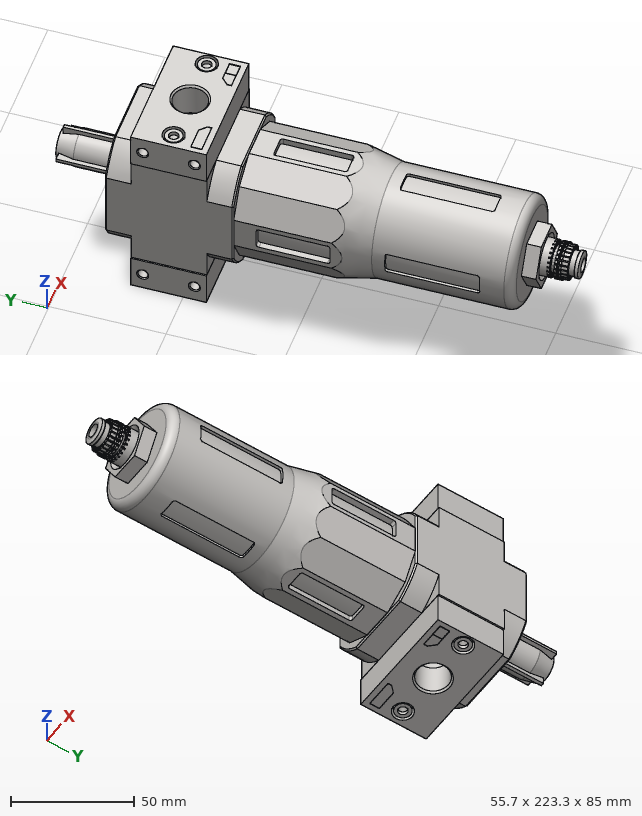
import cadquery as cq
import math

housing_width = 55.0
housing_height = 54.5
housing_corner_radius = 31.3
housing_edge_chamfer = 0.7
port_diameter = 15.0

plate_length = 32.4
plate_width = housing_width
plate_shift = -0.7
overall_height = 85.0
plate_outer_z = overall_height / 2
plate_thickness = plate_outer_z - housing_height / 2
port_mouth_diameter = 16.5
port_mouth_depth = 1.0
mount_hole_diameter = 4.2
mount_hole_mouth_diameter = 5.1
mount_hole_spacing = 22.0
mount_hole_z = 35.0
mount_hole_depth = 4.5
drill_tip_angle = 118.0

label_depth = 0.2
deep_label_depth = 0.5
label_near_y = -8.7
label_far_y = -13.5
label_corner = 3.0
left_label_outer_x = -25.7
right_label_outer_x = 24.3
right_label_divider_x = 19.0
label_inner_x = 12.7

screw_spacing = 42.9
screw_head_diameter = 7.5
screw_head_height = 4.5
screw_head_sink = 0.5
screw_shank_diameter = 6.0
screw_depth_in_housing = 5.5
screw_socket_diameter = 4.2
screw_socket_depth = 1.8
counterbore_diameter = 9.4
screw_head_top_z = plate_outer_z - screw_head_sink
screw_head_seat_z = screw_head_top_z - screw_head_height
screw_end_z = housing_height / 2 - screw_depth_in_housing

knob_collar_diameter = 22.0
knob_collar_length = 3.0
knob_flare_diameter = 20.3
knob_flare_length = 2.2
knob_core_diameter = 16.3
knob_core_end_y = 47.3
knob_tip_diameter = 12.7
knob_tip_y = 55.4
knob_fin_count = 4
knob_fin_end_y = 54.0
knob_fin_thickness = 1.5

bowl_facet_count = 12
bowl_across_flats = 53.8
bowl_facet_end = 69.2
bowl_taper_end = 85.5
bowl_end = 146.0
bowl_cylinder_diameter = 48.7
bowl_end_fillet = 4.0
hex_side_count = 6
hex_across_flats = 23.9
hex_end = 152.2
drain_mouth_diameter = 20.0

window_width = 9.8
window_corner_radius = 1.1
facet_window_start = 37.0
facet_window_end = 68.5
facet_window_floor_radius = 24.5
cylinder_window_start = 91.0
cylinder_window_end = 131.5
cylinder_window_floor_radius = 23.0
window_count = 4

drain_neck_diameter = 16.0
drain_neck_end = 156.0
drain_core_diameter = 11.8
drain_first_ring_start = 157.8
drain_first_ring_end = 159.0
drain_second_ring_start = 159.8
drain_second_ring_end = 160.7
drain_shoulder_diameter = 15.0
drain_shoulder_end = 163.5
drain_stem_diameter = 11.0
drain_lip_start = 165.9
drain_lip_end = 167.5
drain_tip = 167.9
drain_tip_diameter = 7.5
drain_bore_diameter = 6.0
drain_bore_depth = 3.3
drain_groove_count = 24
drain_groove_width = 0.55
drain_groove_start = 155.0


def box_between(x_range, y_range, z_range):
    """A box that spans the given range along each axis."""
    lengths = [end - start for start, end in (x_range, y_range, z_range)]
    corner = (x_range[0], y_range[0], z_range[0])
    return cq.Workplane("XY").box(*lengths, centered=False).translate(corner)


def cylinder_along_y(diameter, start_y, end_y):
    """A cylinder on the filter axis."""
    axis_plane = cq.Workplane("XZ", origin=(0, start_y, 0))
    return axis_plane.circle(diameter / 2).extrude(start_y - end_y)


def revolve_about_y(profile):
    """Turn (radius, y) points, which start and end on the axis, about the filter axis."""
    return cq.Workplane("XY").polyline(profile).close().revolve(360, (0, 0, 0), (0, 1, 0))


def drill_tip_length(diameter):
    """Length of the cone at the bottom of a drilled hole."""
    return diameter / 2 / math.tan(math.radians(drill_tip_angle / 2))


def drill(diameter, depth):
    """A drilled hole that goes down from the origin and ends in a cone."""
    radius = diameter / 2
    outline = [(0, 0), (radius, 0), (radius, -depth), (0, -depth - drill_tip_length(diameter))]
    return cq.Workplane("XZ").polyline(outline).close().revolve(360, (0, 0, 0), (0, 1, 0))


def make_port_bore():
    """The bore through the housing and both plates."""
    return cq.Workplane("XY").circle(port_diameter / 2).extrude(plate_outer_z, both=True)


def make_screw_space():
    """Counterbore and shank hole of one plate screw, on the Z axis."""
    counterbore = cq.Workplane("XY", origin=(0, 0, screw_head_seat_z)).circle(counterbore_diameter / 2)
    shank = cq.Workplane("XY", origin=(0, 0, screw_end_z)).circle(screw_shank_diameter / 2)
    shank_space = shank.extrude(screw_head_seat_z - screw_end_z)
    return counterbore.extrude(plate_outer_z - screw_head_seat_z).union(shank_space)


def for_each_screw(shape):
    """Copies of a shape on the Z axis, one for each screw of both plates."""
    upper = [shape.translate((side * screw_spacing / 2, 0, 0)) for side in (-1, 1)]
    return upper + [copy.mirror("XY") for copy in upper]


def make_housing():
    half_width = housing_width / 2
    half_height = housing_height / 2
    half_plate = plate_length / 2
    side_range = (-half_width, half_width)
    height_range = (-half_height, half_height)
    rounded = cylinder_along_y(2 * housing_corner_radius, -half_width, half_width)
    rounded = rounded.intersect(box_between(side_range, side_range, height_range))
    rounded = rounded.faces("<Y or >Y").chamfer(housing_edge_chamfer)
    housing = rounded.union(box_between(side_range, (-half_plate, half_plate), height_range))
    for screw_space in for_each_screw(make_screw_space()):
        housing = housing.cut(screw_space)
    return housing.cut(make_port_bore())


def cut_label(plate, outline, depth):
    """Sink one label outline into the outer plate face."""
    face = cq.Workplane("XY", origin=(0, 0, plate_outer_z))
    return plate.cut(face.polyline(outline).close().extrude(-depth))


def label_outline(inner_x, outer_x):
    """A rectangle with its near inner corner cut off."""
    corner_x = inner_x + math.copysign(label_corner, outer_x - inner_x)
    return [
        (inner_x, label_far_y),
        (outer_x, label_far_y),
        (outer_x, label_near_y),
        (corner_x, label_near_y),
        (inner_x, label_near_y - label_corner),
    ]


def make_upper_plate():
    left_x = plate_shift - plate_width / 2
    half_length = plate_length / 2
    plate = box_between(
        (left_x, left_x + plate_width),
        (-half_length, half_length),
        (plate_outer_z - plate_thickness, plate_outer_z),
    )
    plate = plate.cut(make_port_bore())

    port_mouth = cq.Solid.makeCone(
        port_diameter / 2,
        port_mouth_diameter / 2,
        port_mouth_depth,
        cq.Vector(0, 0, plate_outer_z - port_mouth_depth),
    )
    plate = plate.cut(cq.Workplane(port_mouth))

    for side in (-1, 1):
        plate = plate.cut(make_screw_space().translate((side * screw_spacing / 2, 0, 0)))

    mouth_depth = (mount_hole_mouth_diameter - mount_hole_diameter) / 2
    mount_hole_mouth = cq.Solid.makeCone(
        mount_hole_diameter / 2,
        mount_hole_mouth_diameter / 2,
        mouth_depth,
        cq.Vector(0, 0, -mouth_depth),
    )
    mount_hole = drill(mount_hole_diameter, mount_hole_depth).union(cq.Workplane(mount_hole_mouth))
    mount_hole = mount_hole.rotate((0, 0, 0), (0, 1, 0), -90)
    for side in (-1, 1):
        hole_y = side * mount_hole_spacing / 2
        plate = plate.cut(mount_hole.translate((left_x, hole_y, mount_hole_z)))

    plate = cut_label(plate, label_outline(-label_inner_x, left_label_outer_x), label_depth)
    plate = cut_label(plate, label_outline(label_inner_x, right_label_divider_x), label_depth)
    deep_label = [
        (right_label_divider_x, label_far_y),
        (right_label_outer_x, label_far_y),
        (right_label_outer_x, label_near_y),
        (right_label_divider_x, label_near_y),
    ]
    return cut_label(plate, deep_label, deep_label_depth)


def make_plates():
    upper_plate = make_upper_plate()
    return [upper_plate, upper_plate.mirror("XY")]


def make_screws():
    shank = cq.Workplane("XY", origin=(0, 0, screw_end_z)).circle(screw_shank_diameter / 2)
    head = cq.Workplane("XY", origin=(0, 0, screw_head_seat_z)).circle(screw_head_diameter / 2)
    screw = shank.extrude(screw_head_seat_z - screw_end_z).union(head.extrude(screw_head_height))
    socket = drill(screw_socket_diameter, screw_socket_depth).translate((0, 0, screw_head_top_z))
    return for_each_screw(screw.cut(socket))


def make_knob():
    base_y = housing_width / 2
    collar_y = base_y + knob_collar_length
    flare_y = collar_y + knob_flare_length
    knob = revolve_about_y([
        (0, base_y),
        (knob_collar_diameter / 2, base_y),
        (knob_collar_diameter / 2, collar_y),
        (knob_flare_diameter / 2, collar_y),
        (knob_core_diameter / 2, flare_y),
        (knob_core_diameter / 2, knob_core_end_y),
        (knob_tip_diameter / 2, knob_tip_y),
        (0, knob_tip_y),
    ])
    fin = box_between(
        (0, knob_flare_diameter / 2),
        (collar_y, knob_fin_end_y),
        (-knob_fin_thickness / 2, knob_fin_thickness / 2),
    )
    for index in range(knob_fin_count):
        knob = knob.union(fin.rotate((0, 0, 0), (0, 1, 0), index * 360 / knob_fin_count))
    return knob


def make_window(start, end, floor_radius):
    """One window cutter on the +Z side, with a floor that is round about the filter axis."""
    window = box_between((-window_width / 2, window_width / 2), (-end, -start), (0, bowl_across_flats))
    window = window.edges("|Z").fillet(window_corner_radius)
    return window.cut(cylinder_along_y(2 * floor_radius, -end, -start))


def make_bowl():
    bowl_start = housing_width / 2
    corner_diameter = bowl_across_flats / math.cos(math.pi / bowl_facet_count)
    half_facet_angle = 180 / bowl_facet_count

    body = revolve_about_y([
        (0, -bowl_start),
        (corner_diameter / 2, -bowl_start),
        (corner_diameter / 2, -bowl_facet_end),
        (bowl_cylinder_diameter / 2, -bowl_taper_end),
        (bowl_cylinder_diameter / 2, -bowl_end),
        (0, -bowl_end),
    ])
    body = body.faces("<Y").edges().fillet(bowl_end_fillet)
    prism = cq.Workplane("XZ", origin=(0, -bowl_start, 0)).polygon(bowl_facet_count, corner_diameter)
    prism = prism.extrude(bowl_end - bowl_start).rotate((0, 0, 0), (0, 1, 0), half_facet_angle)
    bowl = body.intersect(prism)

    facet_window = make_window(facet_window_start, facet_window_end, facet_window_floor_radius)
    cylinder_window = make_window(
        cylinder_window_start, cylinder_window_end, cylinder_window_floor_radius
    )
    for index in range(window_count):
        angle = index * 360 / window_count
        for window in (facet_window, cylinder_window):
            bowl = bowl.cut(window.rotate((0, 0, 0), (0, 1, 0), angle))

    hex_corner_diameter = hex_across_flats / math.cos(math.pi / hex_side_count)
    hexagon = cq.Workplane("XZ", origin=(0, -bowl_end, 0)).polygon(hex_side_count, hex_corner_diameter)
    bowl = bowl.union(hexagon.extrude(hex_end - bowl_end))
    mouth_depth = (drain_mouth_diameter - drain_neck_diameter) / 2
    seat = revolve_about_y([
        (0, -bowl_end),
        (drain_neck_diameter / 2, -bowl_end),
        (drain_neck_diameter / 2, mouth_depth - hex_end),
        (drain_mouth_diameter / 2, -hex_end),
        (0, -hex_end),
    ])
    return bowl.cut(seat)


def make_drain():
    neck_radius = drain_neck_diameter / 2
    core_radius = drain_core_diameter / 2
    shoulder_radius = drain_shoulder_diameter / 2
    stem_radius = drain_stem_diameter / 2
    drain = revolve_about_y([
        (0, -bowl_end),
        (neck_radius, -bowl_end),
        (neck_radius, -drain_neck_end),
        (core_radius, -drain_neck_end),
        (core_radius, -drain_first_ring_start),
        (neck_radius, -drain_first_ring_start),
        (neck_radius, -drain_first_ring_end),
        (core_radius, -drain_first_ring_end),
        (core_radius, -drain_second_ring_start),
        (neck_radius, -drain_second_ring_start),
        (neck_radius, -drain_second_ring_end),
        (shoulder_radius, -drain_second_ring_end),
        (shoulder_radius, -drain_shoulder_end),
        (stem_radius, -drain_shoulder_end),
        (stem_radius, -drain_lip_start),
        (core_radius, -drain_lip_start),
        (core_radius, -drain_lip_end),
        (drain_tip_diameter / 2, -drain_tip),
        (0, -drain_tip),
    ])
    drain = drain.cut(cylinder_along_y(drain_bore_diameter, -drain_tip, drain_bore_depth - drain_tip))

    groove = box_between(
        (core_radius, drain_neck_diameter),
        (-drain_shoulder_end, -drain_groove_start),
        (-drain_groove_width / 2, drain_groove_width / 2),
    )
    pitch_angle = 360 / drain_groove_count
    grooves = [
        groove.rotate((0, 0, 0), (0, 1, 0), index * pitch_angle).val()
        for index in range(drain_groove_count)
    ]
    return cq.Workplane(drain.val().cut(*grooves))


housing = make_housing()
plates = make_plates()
screws = make_screws()
knob = make_knob()
bowl = make_bowl()
drain = make_drain()

result = cq.Compound.makeCompound([
    housing.val(),
    *[plate.val() for plate in plates],
    *[screw.val() for screw in screws],
    knob.val(),
    bowl.val(),
    drain.val(),
])